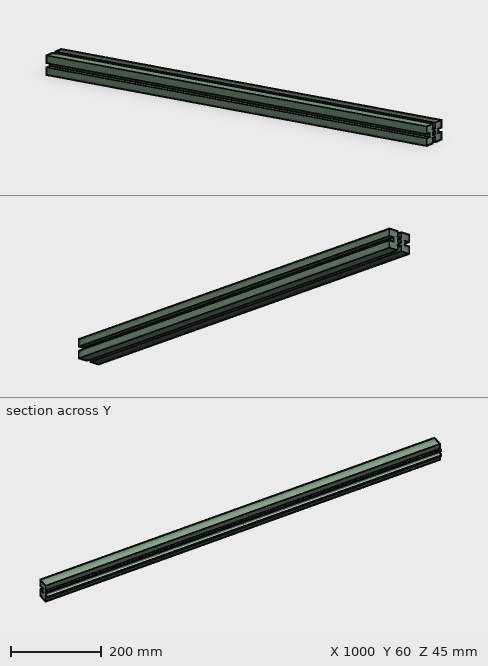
import cadquery as cq

LENGTH = 1000.0
WIDTH = 60.0
HEIGHT = 45.0

SLOT_WIDTH = 10.0
SLOT_DEPTH = 13.0

BORE_DIAMETER = 10.0


def full_length_box(width, height, center_y=0.0, center_z=0.0):
    """Box as long as the bar, centered on the given Y and Z."""
    return cq.Workplane("XY").box(LENGTH, width, height).translate((0, center_y, center_z))


def cut_slots(body):
    """Cut the slots in the two side faces and in the top and bottom faces."""
    side_offset = (WIDTH - SLOT_DEPTH) / 2
    top_offset = (HEIGHT - SLOT_DEPTH) / 2
    for direction in (-1, 1):
        body = body.cut(full_length_box(SLOT_DEPTH, SLOT_WIDTH, center_y=direction * side_offset))
        body = body.cut(full_length_box(SLOT_WIDTH, SLOT_DEPTH, center_z=direction * top_offset))
    return body


def cut_bore(body):
    """Cut the round bore along the center line, from end to end."""
    bore = cq.Workplane("YZ").circle(BORE_DIAMETER / 2).extrude(LENGTH / 2, both=True)
    return body.cut(bore)


bar = full_length_box(WIDTH, HEIGHT)
bar = cut_slots(bar)
result = cut_bore(bar)